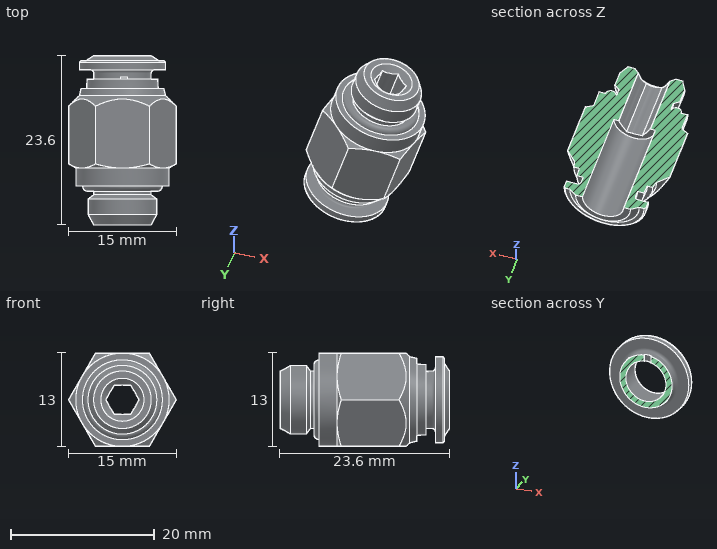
import cadquery as cq
import math

LENGTH = 23.6

TIP_RADIUS = 4.01
THREAD_RADIUS = 4.8
TIP_CHAMFER_END = 1.45
THREAD_END = 3.63
UNDERCUT_START = 4.22

RING_START = 4.67
RING_RADIUS = 5.57
SHOULDER_START = 5.4
HEX_START = 7.93
HEX_FLATS = 13.0
HEX_FRONT_ANGLE = 30.0
HEX_CONE_END = 18.03
HEX_CONE_RADIUS = 6.02
BODY_END = 19.02
BODY_END_RADIUS = 5.78

COLLAR_RADIUS = 5.0
COLLAR_END_RADIUS = 4.93
COLLAR_END = 20.32

NECK_RADIUS = 4.01
NECK_FILLET = 0.47
SLOT_WIDTH = 0.95
SLOT_LENGTH = 0.28
SLOT_OFFSET = 0.24
FLANGE_START = 21.6
FLANGE_RADIUS = 6.02
FLANGE_CHAMFER = 0.24
FLANGE_END = 22.9
DOME_RADIUS = 5.07

SOCKET_FLATS = 4.0
TUBE_RADIUS = 3.0
DRILL_RADIUS = 2.03
SOCKET_CHAMFER_DEPTH = 0.85
SOCKET_END = 9.45


def hexagon(flats, start, end):
    """Hexagonal prism along Y with corners on the X axis."""
    corner_diameter = flats / math.cos(math.radians(30))
    sketch = cq.Workplane("XZ", origin=(0, start, 0)).polygon(6, corner_diameter)
    return sketch.extrude(start - end)


def revolve_about_y(profile):
    return profile.close().revolve(360, (0, 0, 0), (0, 1, 0))


def turned_profile(points):
    """Solid of revolution from (radius, Y) points, closed along the axis."""
    outline = [(0, points[0][1])] + points + [(0, points[-1][1])]
    return revolve_about_y(cq.Workplane("XY").polyline(outline))


def threaded_end():
    return turned_profile([
        (TIP_RADIUS, 0),
        (THREAD_RADIUS, TIP_CHAMFER_END),
        (THREAD_RADIUS, THREAD_END),
        (TIP_RADIUS, UNDERCUT_START),
        (TIP_RADIUS, SHOULDER_START),
    ])


def sealing_ring():
    """O-ring around the undercut, half sunk into the shoulder of the body."""
    section_radius = (RING_RADIUS - TIP_RADIUS) / 2
    section_centre = (RING_RADIUS - section_radius, RING_START + section_radius)
    section = cq.Workplane("XY").moveTo(*section_centre).circle(section_radius)
    return section.revolve(360, (0, 0, 0), (0, 1, 0))


def hex_body():
    flat_radius = HEX_FLATS / 2
    corner_radius = flat_radius / math.cos(math.radians(30))
    corner_rise = corner_radius - flat_radius
    front_cone_end = HEX_START + corner_rise * math.tan(math.radians(HEX_FRONT_ANGLE))
    rear_cone_start = HEX_CONE_END - (corner_radius - HEX_CONE_RADIUS)
    envelope = turned_profile([
        (flat_radius, HEX_START),
        (corner_radius, front_cone_end),
        (corner_radius, rear_cone_start),
        (HEX_CONE_RADIUS, HEX_CONE_END),
        (BODY_END_RADIUS, BODY_END),
    ])
    shoulder = turned_profile([(flat_radius, SHOULDER_START), (flat_radius, HEX_START)])
    return hexagon(HEX_FLATS, HEX_START, BODY_END).intersect(envelope).union(shoulder)


def collar():
    return turned_profile([(COLLAR_RADIUS, BODY_END), (COLLAR_END_RADIUS, COLLAR_END)])


def release_button():
    diagonal = NECK_FILLET * (1 - math.sqrt(0.5))
    profile = (
        cq.Workplane("XY")
        .moveTo(0, COLLAR_END)
        .lineTo(NECK_RADIUS, COLLAR_END)
        .lineTo(NECK_RADIUS, FLANGE_START - NECK_FILLET)
        .threePointArc(
            (NECK_RADIUS + diagonal, FLANGE_START - diagonal),
            (NECK_RADIUS + NECK_FILLET, FLANGE_START),
        )
        .lineTo(FLANGE_RADIUS, FLANGE_START)
        .lineTo(FLANGE_RADIUS, FLANGE_END - FLANGE_CHAMFER)
        .lineTo(FLANGE_RADIUS - FLANGE_CHAMFER, FLANGE_END)
        .lineTo(DOME_RADIUS, FLANGE_END)
        .lineTo(TIP_RADIUS, LENGTH)
        .lineTo(0, LENGTH)
    )
    return revolve_about_y(profile)


def neck_slot():
    """Small window through the top of the neck wall, just behind the collar."""
    window = cq.Workplane("XY").box(SLOT_WIDTH, SLOT_LENGTH, NECK_RADIUS, centered=(True, False, False))
    return window.translate((SLOT_OFFSET, COLLAR_END, 0))


def passage():
    socket = hexagon(SOCKET_FLATS, 0, SOCKET_END)
    lead_in = turned_profile([(TUBE_RADIUS, 0), (SOCKET_FLATS / 2, SOCKET_CHAMFER_DEPTH)])
    tube_bore = turned_profile([(TUBE_RADIUS, SOCKET_END), (TUBE_RADIUS, LENGTH)])
    drill = turned_profile([(DRILL_RADIUS, 0), (DRILL_RADIUS, LENGTH)])
    return socket.union(lead_in).union(drill).union(tube_bore)


result = threaded_end()
for section in (hex_body(), sealing_ring(), collar(), release_button()):
    result = result.union(section)
result = result.cut(passage()).cut(neck_slot())